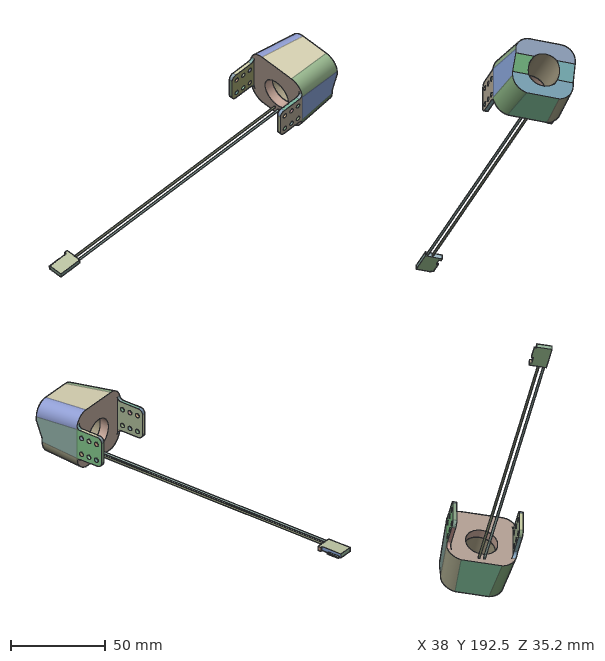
import cadquery as cq

TOTAL_LENGTH = 192.5
HOUSING_WIDTH = 38.0
HOUSING_HEIGHT = 35.2

HOUSING_DEPTH = 28.5
SIDE_TAPER = 2.3
TOP_DROP = 4.0
TOP_RADIUS = 8.0
BOTTOM_CORNER_WIDTH = 7.9
BOTTOM_CORNER_HEIGHT = 9.2
BOTTOM_CORNER_RADIUS = 10.0
UNDERCUT_DEPTH = 4.0
UNDERCUT_TOP = 20.8
UNDERCUT_BOTTOM = 11.5

BORE_RADIUS = 8.7
BORE_Z = 15.0
MOUTH_DEPTH = 5.4
BORE_DROP = 0.2

TAB_THICKNESS = 2.1
TAB_LENGTH = 16.4
TAB_BOTTOM = 9.2
TAB_TOP = 27.1
TAB_CORNER_RADIUS = 2.9
TAB_TOP_ROOT_RADIUS = 2.3
TAB_BOTTOM_ROOT_RADIUS = 2.7
TAB_HOLE_DIAMETER = 2.5
TAB_HOLE_Z = 17.7
TAB_HOLE_PITCH_Z = 9.8
TAB_HOLE_PITCH_Y = TAB_HOLE_PITCH_Z / 2
TAB_HOLE_FIRST_Y = 3.0
TAB_HOLE_COLUMNS = 3
TAB_HOLE_ROWS = 2

WIRE_DIAMETER = 1.2
WIRE_SPACING = 2.9
WIRE_Z = 3.5
WIRE_EMBED = 2.0

PLUG_LENGTH = 14.2
PLUG_LEFT = -5.5
PLUG_RIGHT = 2.7
PLUG_HEIGHT = 2.5
PLUG_RIB_WIDTH = 1.2
COLLAR_LENGTH = 2.0
KEY_START = 6.0
KEY_LENGTH = 7.5
KEY_HEIGHT = 0.8

PLUG_FRONT_Y = HOUSING_DEPTH - TOTAL_LENGTH
PLUG_REAR_Y = PLUG_FRONT_Y + PLUG_LENGTH
PLUG_BOTTOM = WIRE_Z - PLUG_HEIGHT / 2


def box(x_range, y_range, z_range):
    """Box between the given lower and upper limits."""
    size = [high - low for low, high in (x_range, y_range, z_range)]
    corner = cq.Vector(x_range[0], y_range[0], z_range[0])
    return cq.Workplane(cq.Solid.makeBox(*size, corner))


def housing_outline(y, width, height):
    """Closed rounded section at depth y, drawn from the base up the +X side."""
    side = width / 2
    base = side - BOTTOM_CORNER_WIDTH
    roof = side - TOP_RADIUS
    shoulder = height - TOP_RADIUS
    return (
        cq.Workplane("XZ", origin=(0, y, 0))
        .moveTo(-base, 0)
        .lineTo(base, 0)
        .radiusArc((side, BOTTOM_CORNER_HEIGHT), -BOTTOM_CORNER_RADIUS)
        .lineTo(side, shoulder)
        .radiusArc((roof, height), -TOP_RADIUS)
        .lineTo(-roof, height)
        .radiusArc((-side, shoulder), -TOP_RADIUS)
        .lineTo(-side, BOTTOM_CORNER_HEIGHT)
        .radiusArc((-base, 0), -BOTTOM_CORNER_RADIUS)
        .close()
    )


def make_housing():
    """Tapered hood with its lower rear cut back."""
    front = housing_outline(0, HOUSING_WIDTH, HOUSING_HEIGHT).wire().val()
    rear_width = HOUSING_WIDTH - 2 * SIDE_TAPER
    rear_height = HOUSING_HEIGHT - TOP_DROP
    rear = housing_outline(HOUSING_DEPTH, rear_width, rear_height).wire().val()
    hood = cq.Workplane(cq.Solid.makeLoft([front, rear], True))
    step_y = HOUSING_DEPTH - UNDERCUT_DEPTH
    undercut = (
        cq.Workplane("YZ")
        .moveTo(HOUSING_DEPTH, UNDERCUT_TOP)
        .lineTo(step_y, UNDERCUT_BOTTOM)
        .lineTo(step_y, 0)
        .lineTo(HOUSING_DEPTH, 0)
        .close()
        .extrude(HOUSING_WIDTH, both=True)
    )
    return hood.cut(undercut)


def make_bore():
    """Through bore whose axis steps down slightly behind the mouth."""
    mouth = (
        cq.Workplane("XZ")
        .center(0, BORE_Z)
        .circle(BORE_RADIUS)
        .extrude(-MOUTH_DEPTH)
    )
    rear = (
        cq.Workplane("XZ", origin=(0, MOUTH_DEPTH, 0))
        .center(0, BORE_Z - BORE_DROP)
        .circle(BORE_RADIUS)
        .extrude(MOUTH_DEPTH - HOUSING_DEPTH)
    )
    return mouth.union(rear)


def make_tabs():
    """Two drilled tabs continuing the side walls, flared where they meet the housing."""
    outer = housing_outline(0, HOUSING_WIDTH, HOUSING_HEIGHT)
    inner = housing_outline(0, HOUSING_WIDTH, HOUSING_HEIGHT).offset2D(-TAB_THICKNESS)
    wall = outer.extrude(TAB_LENGTH).cut(inner.extrude(TAB_LENGTH))
    tip = -TAB_LENGTH
    corner = TAB_CORNER_RADIUS
    top_root = TAB_TOP_ROOT_RADIUS
    bottom_root = TAB_BOTTOM_ROOT_RADIUS
    side_profile = (
        cq.Workplane("YZ")
        .moveTo(0, TAB_BOTTOM - bottom_root)
        .radiusArc((-bottom_root, TAB_BOTTOM), -bottom_root)
        .lineTo(tip + corner, TAB_BOTTOM)
        .radiusArc((tip, TAB_BOTTOM + corner), corner)
        .lineTo(tip, TAB_TOP - corner)
        .radiusArc((tip + corner, TAB_TOP), corner)
        .lineTo(-top_root, TAB_TOP)
        .radiusArc((0, TAB_TOP + top_root), -top_root)
        .close()
        .extrude(HOUSING_WIDTH, both=True)
    )
    hole_center_y = -TAB_HOLE_FIRST_Y - TAB_HOLE_PITCH_Y * (TAB_HOLE_COLUMNS - 1) / 2
    holes = (
        cq.Workplane("YZ")
        .center(hole_center_y, TAB_HOLE_Z)
        .rarray(TAB_HOLE_PITCH_Y, TAB_HOLE_PITCH_Z, TAB_HOLE_COLUMNS, TAB_HOLE_ROWS)
        .circle(TAB_HOLE_DIAMETER / 2)
        .extrude(HOUSING_WIDTH, both=True)
    )
    return wall.intersect(side_profile).cut(holes)


def make_wires():
    """Pair of round wires running from the housing to the plug."""
    return (
        cq.Workplane("XZ", origin=(0, WIRE_EMBED, WIRE_Z))
        .rarray(WIRE_SPACING, 2, 2, 1)
        .circle(WIRE_DIAMETER / 2)
        .extrude(2 * WIRE_EMBED - PLUG_REAR_Y)
    )


def make_plug():
    """Flat plug with a collar and a low key rib on its -X side."""
    plug_z = (PLUG_BOTTOM, PLUG_BOTTOM + PLUG_HEIGHT)
    rib_x = (PLUG_LEFT - PLUG_RIB_WIDTH, PLUG_LEFT)
    key_y = PLUG_REAR_Y - KEY_START
    body = box((PLUG_LEFT, PLUG_RIGHT), (PLUG_FRONT_Y, PLUG_REAR_Y), plug_z)
    collar = box(rib_x, (PLUG_REAR_Y - COLLAR_LENGTH, PLUG_REAR_Y), plug_z)
    key = box(rib_x, (key_y - KEY_LENGTH, key_y), (PLUG_BOTTOM, PLUG_BOTTOM + KEY_HEIGHT))
    return body.union(collar).union(key)


result = (
    make_housing()
    .cut(make_bore())
    .union(make_tabs())
    .union(make_wires())
    .union(make_plug())
)